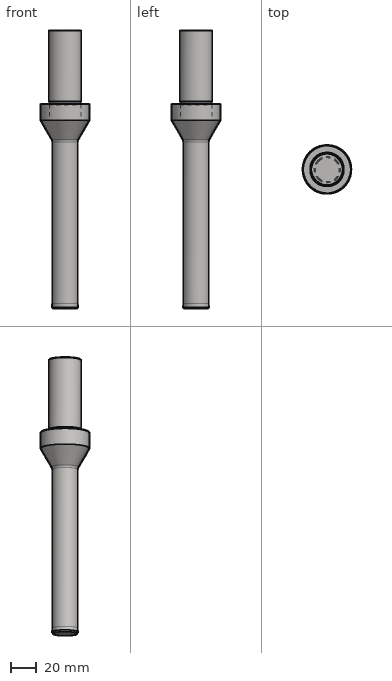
import cadquery as cq
import math

total_height = 216.2
collar_top = 159.0
collar_bottom = 146.1

collar_radius = 19.0
collar_chamfer = 0.6
rod_diameter = 20.0
rod_radius = rod_diameter / 2
cone_half_angle = 30.0
cone_fillet = 3.9
rod_end_flare = 0.1
flare_height = 4.3
rod_end_chamfer_height = 1.3
rod_end_chamfer_width = 0.9

shank_radius = 12.8
shank_top_chamfer = 0.6
shank_bottom = 161.0
spigot_radius = 12.3
shank_bottom_chamfer = shank_radius - spigot_radius
spigot_depth = 13.0
spigot_bottom = collar_top - spigot_depth
socket_chamfer = 0.9


def cone_to_rod_fillet():
    """Start, middle and end points (radius, height) of the arc blending the cone into the rod."""
    angle = math.radians(cone_half_angle)
    corner_z = collar_bottom - (collar_radius - rod_radius) / math.tan(angle)
    center_radius = rod_radius + cone_fillet
    center_z = corner_z - cone_fillet * math.tan(angle / 2)

    def arc_point(turn):
        return (center_radius - cone_fillet * math.cos(turn), center_z + cone_fillet * math.sin(turn))

    return arc_point(angle), arc_point(angle / 2), arc_point(0)


def make_holder():
    """Collar, cone and rod revolved about Z, with a blind socket for the spigot."""
    fillet_start, fillet_middle, fillet_end = cone_to_rod_fillet()
    flared_radius = rod_radius + rod_end_flare
    body = (
        cq.Workplane("XZ")
        .moveTo(0, collar_top)
        .lineTo(collar_radius - collar_chamfer, collar_top)
        .lineTo(collar_radius, collar_top - collar_chamfer)
        .lineTo(collar_radius, collar_bottom)
        .lineTo(*fillet_start)
        .threePointArc(fillet_middle, fillet_end)
        .lineTo(rod_radius, flare_height)
        .lineTo(flared_radius, rod_end_chamfer_height)
        .lineTo(flared_radius - rod_end_chamfer_width, 0)
        .lineTo(0, 0)
        .close()
        .revolve(360, (0, 0, 0), (0, 1, 0))
    )
    socket = (
        cq.Workplane("XZ")
        .moveTo(0, spigot_bottom)
        .lineTo(spigot_radius, spigot_bottom)
        .lineTo(spigot_radius, collar_top - socket_chamfer)
        .lineTo(spigot_radius + socket_chamfer, collar_top)
        .lineTo(0, collar_top)
        .close()
        .revolve(360, (0, 0, 0), (0, 1, 0))
    )
    return body.cut(socket)


def make_shank():
    """Cylindrical shank with chamfered ends, standing on its spigot."""
    shank = (
        cq.Workplane("XY", origin=(0, 0, shank_bottom - shank_bottom_chamfer))
        .circle(shank_radius)
        .extrude(total_height - shank_bottom + shank_bottom_chamfer)
        .faces(">Z")
        .chamfer(shank_top_chamfer)
        .faces("<Z")
        .chamfer(shank_bottom_chamfer)
    )
    spigot = (
        cq.Workplane("XY", origin=(0, 0, spigot_bottom))
        .circle(spigot_radius)
        .extrude(shank_bottom - spigot_bottom)
    )
    return shank.union(spigot)


holder = make_holder()
shank = make_shank()
result = cq.Compound.makeCompound([holder.val(), shank.val()])